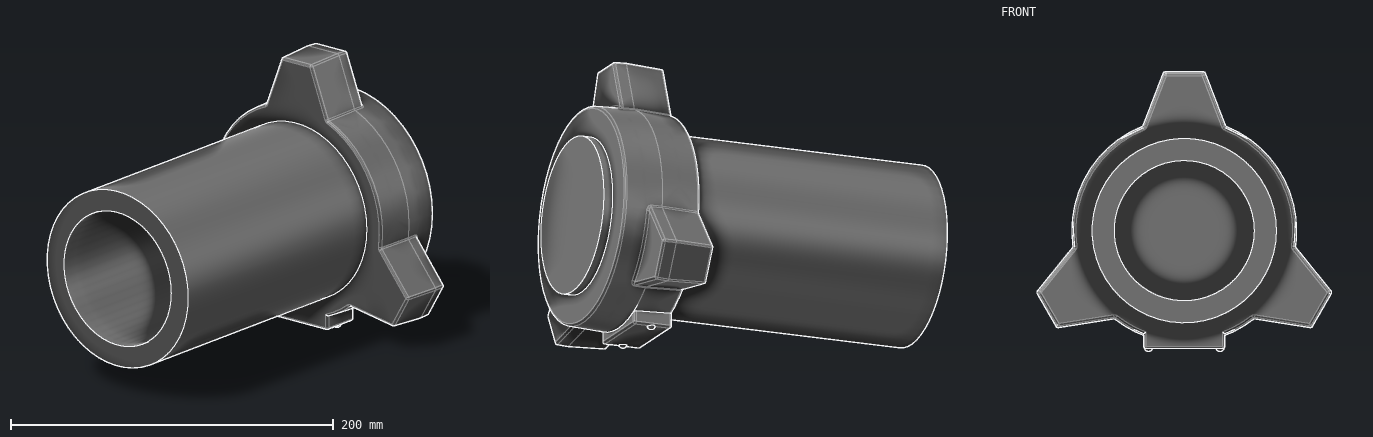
import cadquery as cq
import math

overall_length = 228.5
pipe_radius = 57.2
bore_radius = 43.5
bore_depth = 164.0
spigot_radius = 49.4

nut_front = 172.1
nut_back = 222.7
parting_plane = 197.7
nut_radius = 69.7
draft_angle = 2.5
edge_radius = 1.49
position_tolerance = 0.002

wing_count = 3
wing_back = 206.5
wing_reach = 98.5
wing_root_reach = 45.7
wing_tip_width = 25.5
wing_flank_angle = 21.0

pad_width = 50.3
pad_reach = 73.2
pad_root_top = -64.0
rivet_plane = 185.0
rivet_spacing = 44.3
rivet_radius = 2.5
rivet_height = 1.8


def plane_across(y):
    """Plane across the axis: local x along X, local y along Z, extruding toward -Y."""
    return cq.Workplane("XZ", origin=(0, y, 0))


def make_wings(end):
    """Tapered wings reaching from the parting plane to the given end."""
    tip_half = wing_tip_width / 2
    flank_length = wing_reach - wing_root_reach
    root_half = tip_half + flank_length * math.tan(math.radians(wing_flank_angle))
    wing = (
        plane_across(parting_plane)
        .polyline([
            (-root_half, wing_root_reach),
            (root_half, wing_root_reach),
            (tip_half, wing_reach),
            (-tip_half, wing_reach),
        ])
        .close()
        .extrude(parting_plane - end, taper=draft_angle)
    )
    pitch = 360 / wing_count
    return [wing.rotate((0, 0, 0), (0, 1, 0), index * pitch) for index in range(wing_count)]


def make_pad():
    """Block from the nut axis down to the pad face, rounded along its back and bottom corners."""
    pad = (
        plane_across(parting_plane)
        .center(0, -pad_reach / 2)
        .rect(pad_width, pad_reach)
        .extrude(parting_plane - nut_front)
    )
    back_edges = pad.faces(">Y").edges("not >Z")
    bottom_corners = pad.faces("<Z").edges("|Y")
    return back_edges.add(bottom_corners).fillet(edge_radius)


def make_nut_half(end, wing_end):
    """Tapered half of the nut on one side of the parting plane, wings included."""
    half = plane_across(parting_plane).circle(nut_radius).extrude(parting_plane - end, taper=draft_angle)
    for wing in make_wings(wing_end):
        half = half.union(wing)
    return half


def needs_rounding(edge):
    """True off the parting plane, apart from the pad sides and the seam of the round wall."""
    centre = edge.Center()
    on_front_face = math.isclose(centre.y, nut_front, abs_tol=position_tolerance)
    on_back_face = math.isclose(centre.y, nut_back, abs_tol=position_tolerance)
    if on_front_face or on_back_face:
        return True
    on_parting_plane = math.isclose(centre.y, parting_plane, abs_tol=position_tolerance)
    on_seam = math.isclose(centre.z, 0, abs_tol=position_tolerance)
    return centre.z > pad_root_top and not on_parting_plane and not on_seam


def round_edges(body):
    return body.edges().filter(needs_rounding).fillet(edge_radius)


def make_nut():
    front_half = round_edges(make_nut_half(nut_front, nut_front).union(make_pad()))
    back_half = round_edges(make_nut_half(nut_back, wing_back))
    return front_half.union(back_half)


def make_rivet_head(x):
    """Domed head below the pad face: the cap of a sphere sunk into the pad."""
    sphere_radius = (rivet_radius**2 + rivet_height**2) / (2 * rivet_height)
    sphere_height = sphere_radius - pad_reach - rivet_height
    return cq.Workplane(origin=(x, rivet_plane, sphere_height)).sphere(sphere_radius)


pipe = plane_across(nut_front).circle(pipe_radius).extrude(nut_front)
bore = plane_across(bore_depth).circle(bore_radius).extrude(bore_depth)
spigot = plane_across(overall_length).circle(spigot_radius).extrude(overall_length - nut_back)

result = make_nut().union(pipe).union(spigot)
for side in (-1, 1):
    result = result.union(make_rivet_head(side * rivet_spacing / 2))
result = result.cut(bore)